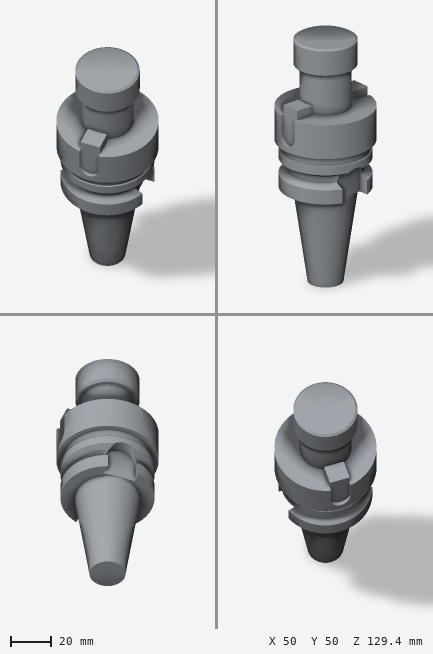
import cadquery as cq


taper_length = 48.4
gauge_radius = 31.75 / 2
taper_ratio = 7 / 24
taper_tip_radius = gauge_radius - taper_length * taper_ratio / 2
flange_radius = 46 / 2
flange_bottom = 2.0
flange_top = 22.0
groove_radius = 38.4 / 2
groove_floor_bottom = 11.7
groove_floor_top = 15.3
groove_flank_height = 2.2

neck_radius = 44 / 2
collar_radius = 50 / 2
collar_bottom = 27.0
collar_top = 45.0
pilot_radius = 25.4 / 2
pilot_top = 65.0

drive_slot_width = 16.1
drive_slot_top = 19.0
drive_slot_floor_x = 16.3

key_width = 10.0
key_outer_y = 23.0
key_inner_y = 13.4
key_bottom = 30.0
key_top = 50.0

screw_head_radius = 31.5 / 2
screw_top = 81.0
head_top_chamfer_width = 1.15
head_top_chamfer_height = 0.8
head_bottom = 66.2
head_bottom_chamfer = 1.2
spigot_chamfer_width = 0.8
spigot_chamfer_height = 0.5


def make_round_top_slot(width, bottom, rounded_top, start_x, length):
    """Slot blank along +X with a flat bottom and a full-radius top."""
    radius = width / 2
    shoulder = rounded_top - radius
    return (
        cq.Workplane("YZ", origin=(start_x, 0, 0))
        .moveTo(-radius, bottom)
        .lineTo(radius, bottom)
        .lineTo(radius, shoulder)
        .threePointArc((0, rounded_top), (-radius, shoulder))
        .close()
        .extrude(length)
    )


def make_key_blank(side, length):
    """Key with a full-radius lower end, running outward in Y from its inner face."""
    radius = key_width / 2
    shoulder = key_bottom + radius
    return (
        cq.Workplane("XZ", origin=(0, side * key_inner_y, 0))
        .moveTo(-radius, key_top)
        .lineTo(-radius, shoulder)
        .threePointArc((0, key_bottom), (radius, shoulder))
        .lineTo(radius, key_top)
        .close()
        .extrude(-side * length)
    )


def make_holder():
    profile = [
        (0, -taper_length),
        (taper_tip_radius, -taper_length),
        (gauge_radius, 0),
        (gauge_radius, flange_bottom),
        (flange_radius, flange_bottom),
        (flange_radius, groove_floor_bottom - groove_flank_height),
        (groove_radius, groove_floor_bottom),
        (groove_radius, groove_floor_top),
        (flange_radius, groove_floor_top + groove_flank_height),
        (flange_radius, flange_top),
        (neck_radius, flange_top),
        (neck_radius, collar_bottom),
        (collar_radius, collar_bottom),
        (collar_radius, collar_top),
        (pilot_radius, collar_top),
        (pilot_radius, pilot_top),
        (0, pilot_top),
    ]
    holder = cq.Workplane("XZ").polyline(profile).close().revolve(360, (0, 0, 0), (0, 1, 0))

    drive_slot = make_round_top_slot(
        drive_slot_width, flange_bottom, drive_slot_top, drive_slot_floor_x, flange_radius
    )
    for angle in (0, 180):
        holder = holder.cut(drive_slot.rotate((0, 0, 0), (0, 0, 1), angle))

    for side in (-1, 1):
        holder = holder.cut(make_key_blank(side, collar_radius))
    return holder


def make_screw():
    profile = [
        (0, pilot_top),
        (pilot_radius - spigot_chamfer_width, pilot_top),
        (pilot_radius, pilot_top + spigot_chamfer_height),
        (pilot_radius, head_bottom),
        (screw_head_radius - head_bottom_chamfer, head_bottom),
        (screw_head_radius, head_bottom + head_bottom_chamfer),
        (screw_head_radius, screw_top - head_top_chamfer_height),
        (screw_head_radius - head_top_chamfer_width, screw_top),
        (0, screw_top),
    ]
    return cq.Workplane("XZ").polyline(profile).close().revolve(360, (0, 0, 0), (0, 1, 0))


holder = make_holder()
screw = make_screw()
keys = [make_key_blank(side, key_outer_y - key_inner_y) for side in (-1, 1)]

result = cq.Compound.makeCompound([holder.val(), screw.val(), *[key.val() for key in keys]])